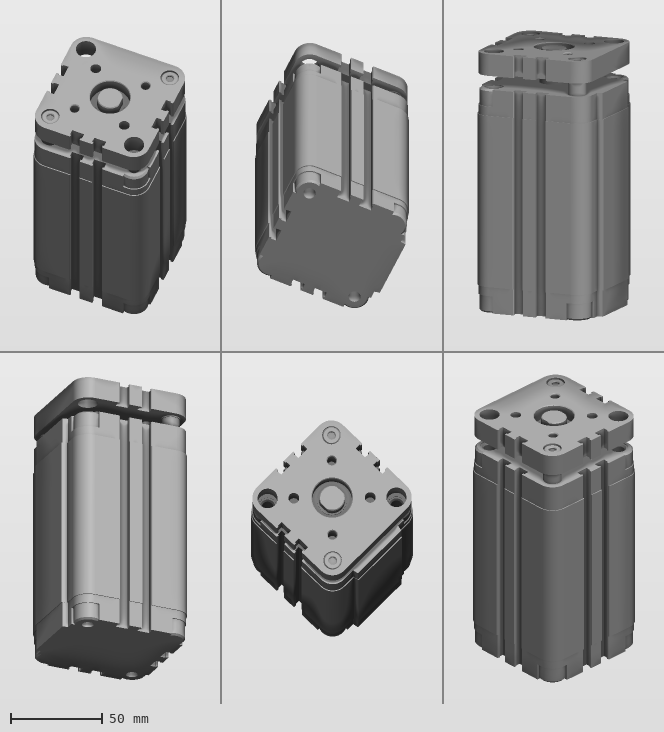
import cadquery as cq
import math


total_height = 145.0
housing_height = 125.1
plate_thickness = 12.2
end_cap_height = 14.6
plate_bottom = total_height - plate_thickness
barrel_height = housing_height - 2 * end_cap_height

barrel_side = 68.0
cap_side = 67.0
corner_offset = 25.0
barrel_corner_radius = barrel_side / 2 - corner_offset
cap_corner_radius = cap_side / 2 - corner_offset
plate_corner_radius = 9.0
SCREW_CORNERS = [(-corner_offset, corner_offset), (corner_offset, -corner_offset)]
GUIDE_CORNERS = [(corner_offset, corner_offset), (-corner_offset, -corner_offset)]

slot_near_edge = 3.8
slot_far_edge = 9.4
slot_undercut = 0.7
slot_floor = 29.0
slot_lip_inside = 32.0
slot_mouth_flare = 0.5

rail_base_half_width = 17.5
rail_top_half_width = 17.0
rail_height = 3.0

lug_diameter = 16.0
lug_height = 9.5
lug_chamfer = 1.0
lug_wall = 22.0

screw_hole_diameter = 6.7
screw_mouth_diameter = 8.5
screw_seat_diameter = 10.5
screw_seat_depth = 0.5
plate_access_diameter = 11.0

rod_diameter = 16.0
rod_neck_diameter = 14.0
rod_neck_chamfer = 0.51
rod_shoulder_height = 0.7
rod_across_flats = 12.8
rod_collar_height = 1.7
rod_end_recess = 0.7
rod_engagement = end_cap_height

guide_diameter = 10.2
guide_collar_diameter = 11.0
guide_collar_height = 0.6
guide_end_recess = 0.6
guide_end_diameter = 8.5
guide_socket_diameter = 4.0
guide_socket_mouth = 5.0
guide_socket_depth = 1.2

bore_diameter = 22.0
bore_depth = 7.5
bore_chamfer = 0.5
fixing_offset = 14.8
thread_diameter = 5.0
thread_chamfer = 0.51
dowel_diameter = 6.0


def rounded_square(side, radius, bottom, height):
    """Square block with rounded vertical edges."""
    block = cq.Workplane("XY").workplane(offset=bottom).rect(side, side).extrude(height)
    return block.edges("|Z").fillet(radius)


def cylinders(diameter, bottom, height, places):
    """Vertical cylinders at the given XY places."""
    return cq.Workplane("XY").workplane(offset=bottom).pushPoints(places).circle(diameter / 2).extrude(height)


def cones(bottom_diameter, top_diameter, bottom, height, places):
    """Vertical truncated cones at the given XY places."""
    cone = cq.Solid.makeCone(bottom_diameter / 2, top_diameter / 2, height)
    return cq.Workplane("XY").workplane(offset=bottom).pushPoints(places).eachpoint(
        lambda place: cone.located(place), combine="a"
    )


def slot_pairs(bottom, height, side):
    """Slot pairs on the -Y, -X and +X sides, flared where they meet a square of this side length."""
    surface = side / 2
    beyond = barrel_side
    slots = cq.Workplane("XY")
    for mirror in (-1, 1):
        outline = [
            (slot_near_edge, -beyond),
            (slot_near_edge, -slot_lip_inside),
            (slot_near_edge - slot_undercut, -slot_lip_inside),
            (slot_near_edge - slot_undercut, -slot_floor),
            (slot_far_edge + slot_undercut, -slot_floor),
            (slot_far_edge + slot_undercut, -slot_lip_inside),
            (slot_far_edge, -slot_lip_inside),
            (slot_far_edge, -surface + slot_mouth_flare),
            (slot_far_edge + slot_mouth_flare, -surface),
            (slot_far_edge + slot_mouth_flare, -beyond),
        ]
        points = [(mirror * x, y) for x, y in outline]
        slot = cq.Workplane("XY").workplane(offset=bottom).polyline(points).close().extrude(height)
        for angle in (-90, 0, 90):
            slots = slots.add(slot.rotate((0, 0, 0), (0, 0, 1), angle))
    return slots.combine()


def housing_section(side, radius, bottom, height):
    """One length of the housing: slotted square with the rail on its +Y side."""
    body = rounded_square(side, radius, bottom, height).cut(slot_pairs(bottom, height, side))
    rail_base = side / 2
    rail_outline = [
        (-rail_base_half_width, 0),
        (-rail_base_half_width, rail_base),
        (-rail_top_half_width, rail_base + rail_height),
        (rail_top_half_width, rail_base + rail_height),
        (rail_base_half_width, rail_base),
        (rail_base_half_width, 0),
    ]
    rail = cq.Workplane("XY").workplane(offset=bottom).polyline(rail_outline).close().extrude(height)
    return body.union(rail)


def lug_relief(corner, at_top):
    """Material removed around one corner so that a round, chamfered lug is left."""
    x_sign = math.copysign(1, corner[0])
    y_sign = math.copysign(1, corner[1])
    bottom = housing_height - lug_height if at_top else 0
    block_middle = (lug_wall + barrel_side / 2) / 2
    block_side = barrel_side / 2 - lug_wall
    block = (
        cq.Workplane("XY").workplane(offset=bottom)
        .center(x_sign * block_middle, y_sign * block_middle)
        .rect(block_side, block_side).extrude(lug_height)
    )
    lug = cylinders(lug_diameter, bottom, lug_height, [corner])
    lug = lug.faces(">Z" if at_top else "<Z").chamfer(lug_chamfer)
    return block.cut(lug)


def make_housing():
    top_cap_bottom = housing_height - end_cap_height
    body = housing_section(cap_side, cap_corner_radius, 0, end_cap_height)
    body = body.union(housing_section(barrel_side, barrel_corner_radius, end_cap_height, barrel_height))
    body = body.union(housing_section(cap_side, cap_corner_radius, top_cap_bottom, end_cap_height))

    for corner in SCREW_CORNERS + GUIDE_CORNERS:
        body = body.cut(lug_relief(corner, at_top=False))
    for corner in SCREW_CORNERS:
        body = body.cut(lug_relief(corner, at_top=True))

    seat_floor = housing_height - screw_seat_depth
    mouth_depth = (screw_mouth_diameter - screw_hole_diameter) / 2
    body = body.cut(cylinders(screw_hole_diameter, 0, housing_height, SCREW_CORNERS))
    body = body.cut(cylinders(screw_seat_diameter, seat_floor, screw_seat_depth, SCREW_CORNERS))
    body = body.cut(cones(
        screw_hole_diameter, screw_mouth_diameter, seat_floor - mouth_depth, mouth_depth, SCREW_CORNERS
    ))

    rod_hole_floor = housing_height - rod_engagement
    body = body.cut(cylinders(rod_diameter, rod_hole_floor, rod_engagement, [(0, 0)]))
    return body.cut(cylinders(guide_diameter, rod_hole_floor, rod_engagement, GUIDE_CORNERS))


def make_plate():
    plate = rounded_square(cap_side, plate_corner_radius, plate_bottom, plate_thickness)
    plate = plate.cut(slot_pairs(plate_bottom, plate_thickness, cap_side))

    plate = plate.cut(cylinders(bore_diameter, total_height - bore_depth, bore_depth, [(0, 0)]))
    plate = plate.cut(cones(
        bore_diameter, bore_diameter + 2 * bore_chamfer, total_height - bore_chamfer, bore_chamfer, [(0, 0)]
    ))

    plate = plate.cut(cylinders(plate_access_diameter, plate_bottom, plate_thickness, SCREW_CORNERS))

    dowels = [(-fixing_offset, fixing_offset), (fixing_offset, -fixing_offset)]
    threads = [(fixing_offset, fixing_offset), (-fixing_offset, -fixing_offset)]
    plate = plate.cut(cylinders(dowel_diameter, plate_bottom, plate_thickness, dowels))
    plate = plate.cut(cylinders(thread_diameter, plate_bottom, plate_thickness, threads))
    return plate.cut(cones(
        thread_diameter, thread_diameter + 2 * thread_chamfer, total_height - thread_chamfer,
        thread_chamfer, threads
    ))


def make_piston_rod():
    bottom = housing_height - rod_engagement
    bore_floor = total_height - bore_depth
    flats_bottom = housing_height + rod_collar_height

    shank = cylinders(rod_diameter, bottom, flats_bottom - bottom, [(0, 0)])
    flatted = cylinders(rod_diameter, flats_bottom, plate_bottom - flats_bottom, [(0, 0)])
    flatted = flatted.intersect(
        cq.Workplane("XY").box(rod_diameter, rod_across_flats, 2 * total_height)
    )

    neck_height = bore_depth - rod_end_recess
    neck = cylinders(rod_neck_diameter, bore_floor, neck_height, [(0, 0)])
    neck = neck.faces(">Z").chamfer(rod_neck_chamfer)
    neck = neck.intersect(cq.Workplane("XY").box(rod_across_flats, rod_diameter, 2 * total_height))
    shoulder = cylinders(rod_diameter, bore_floor, rod_shoulder_height, [(0, 0)])
    return shank.union(flatted), neck.union(shoulder)


def make_moving_unit():
    shank, neck = make_piston_rod()
    unit = make_plate().union(shank).union(neck)

    guide_bottom = housing_height - rod_engagement
    unit = unit.union(cylinders(guide_diameter, guide_bottom, plate_bottom - guide_bottom, GUIDE_CORNERS))
    unit = unit.union(cylinders(
        guide_collar_diameter, plate_bottom - guide_collar_height, guide_collar_height, GUIDE_CORNERS
    ))

    end_level = total_height - guide_end_recess
    bevel = (guide_diameter - guide_end_diameter) / 2
    rim = cylinders(guide_diameter, end_level - bevel, bevel, GUIDE_CORNERS)
    rim = rim.cut(cones(guide_diameter, guide_end_diameter, end_level - bevel, bevel, GUIDE_CORNERS))
    socket_floor = end_level - guide_socket_depth
    unit = unit.cut(cylinders(guide_diameter, end_level, guide_end_recess, GUIDE_CORNERS))
    unit = unit.cut(rim)
    mouth_depth = (guide_socket_mouth - guide_socket_diameter) / 2
    unit = unit.cut(cylinders(guide_socket_diameter, socket_floor, guide_socket_depth, GUIDE_CORNERS))
    return unit.cut(cones(
        guide_socket_diameter, guide_socket_mouth, end_level - mouth_depth, mouth_depth, GUIDE_CORNERS
    ))


housing = make_housing()
moving_unit = make_moving_unit()

result = cq.Compound.makeCompound([housing.val(), moving_unit.val()])